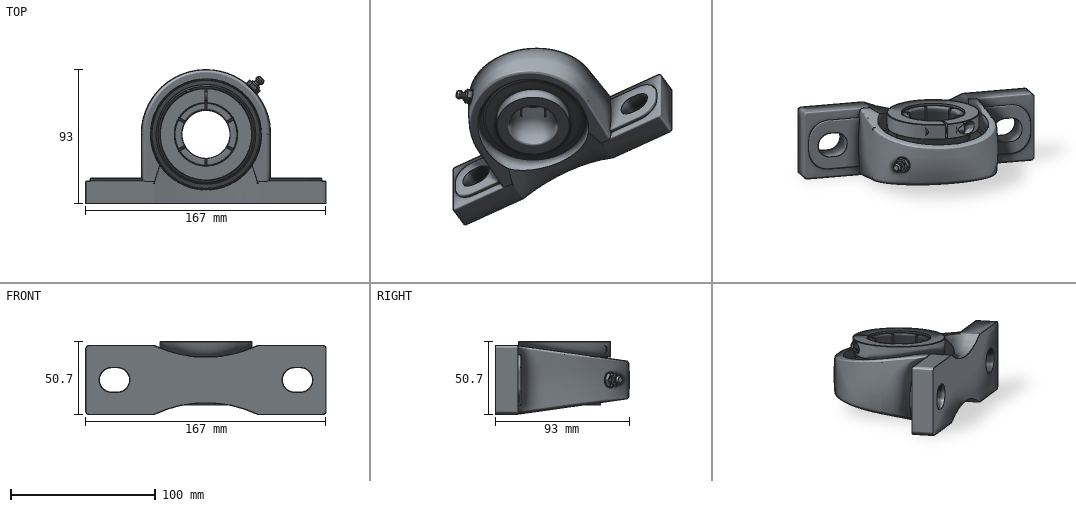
import cadquery as cq
import math


foot_length = 167.0
foot_width = 48.0
foot_height = 15.6
foot_corner_radius = 2.5
foot_edge_radius = 1.0
slot_spacing = 127.0
slot_length = 21.0
slot_width = 17.0
pad_height = 2.0
pad_width = 35.0
pad_outer_end = 80.4
pad_corner_radius = 14.0
pad_edge_radius = 0.8
waist_chord = 72.0
waist_depth = 8.15
waist_corner_radius = 2.0

shaft_height = 48.0
arch_radius = 45.0
crown_radius = 150.0
slope_angle = 8.0
slope_start_height = 14.0
arch_edge_radius = 2.0
seat_diameter = 76.91

outer_ring_width = 17.0
outer_ring_bore = 62.0
seal_outer_radius = 34.6
seal_rim_radius = 33.4
seal_inner_diameter = 51.02
seal_recess = 1.2
seal_rise = 0.6
shaft_bore = 33.34
inner_ring_diameter = 50.0
inner_ring_bottom = -17.5
inner_ring_shoulder = 15.0
inner_ring_top = 25.4
sleeve_radius = 22.0
sleeve_edge_chamfer = 0.5
bore_edge_radius = 1.5
slit_width = 1.5
slit_count = 6
slit_bottom = 11.5

collar_diameter = 64.0
collar_top = 26.65
collar_height = 10.75
collar_edge_chamfer = 0.3
collar_middle = collar_top - collar_height / 2

screw_offset = 26.5
screw_diameter = 6.0
head_diameter = 8.5
head_outer_x = -13.8
head_height = 6.0
head_chamfer = 0.5
screw_end_x = 14.0
socket_width = 5.0
socket_depth = 3.0

fitting_angle = 45.0
fitting_seat = 44.5
fitting_shank_end = 40.5
shank_diameter = 5.8
fitting_hex_width = 9.0
spotface_diameter = 11.0
hex_top = 48.0
shoulder_diameter = 7.0
shoulder_top = 49.3
neck_diameter = 4.13
neck_top = 50.9
nipple_diameter = 6.0
nipple_start = 52.2
nipple_end = 53.3
tip_diameter = 4.14
fitting_tip = 54.9


def on_shaft_axis(body):
    """Move a body built around the Z axis onto the shaft axis."""
    return body.translate((0, shaft_height, 0))


def cylinder(radius, bottom, top):
    return cq.Workplane("XY").workplane(offset=bottom).circle(radius).extrude(top - bottom)


def upright(sketch, height):
    """Raise an outline drawn on an XZ plane towards +Y."""
    return sketch.extrude(-height)


def foot_plane(height=0.0):
    return cq.Workplane("XZ", origin=(0, height, 0))


def make_waist_cutter(height):
    """Two shallow arcs that narrow the foot, each made of two halves that meet in the middle."""
    half_chord = waist_chord / 2
    half_width = foot_width / 2
    arc_radius = (half_chord**2 + waist_depth**2) / (2 * waist_depth)
    quarter_x = half_chord / 2
    quarter_z = half_width - waist_depth + arc_radius - math.sqrt(arc_radius**2 - quarter_x**2)
    outline = (
        foot_plane()
        .moveTo(-half_chord, half_width)
        .threePointArc((-quarter_x, quarter_z), (0, half_width - waist_depth))
        .threePointArc((quarter_x, quarter_z), (half_chord, half_width))
        .close()
    )
    upper = upright(outline, height)
    return upper.union(upper.mirror("XY"))


def make_foot():
    foot = upright(foot_plane().rect(foot_length, foot_width), foot_height)
    foot = foot.edges("|Y").fillet(foot_corner_radius)
    foot = foot.cut(make_waist_cutter(foot_height))
    half_chord = waist_chord / 2
    for side in (-1, 1):
        for end in (-1, 1):
            corner = cq.selectors.NearestToPointSelector(
                (end * half_chord, foot_height / 2, side * foot_width / 2)
            )
            foot = foot.edges("|Y").edges(corner).fillet(waist_corner_radius)
    return foot.faces(">Y").edges().fillet(foot_edge_radius)


def make_pads():
    """Raised bolting pads on top of the foot, one slab that the arch covers in the middle."""
    pads = upright(foot_plane().rect(2 * pad_outer_end, pad_width), foot_height + pad_height)
    pads = pads.edges("|Y").fillet(pad_corner_radius)
    pads = pads.faces(">Y").edges().fillet(pad_edge_radius)
    return pads.cut(make_waist_cutter(foot_height + pad_height))


def crown_profile(plane):
    """Section from the middle out to the crowned outer wall, as wide as the foot."""
    half_width = foot_width / 2
    crown_drop = crown_radius - math.sqrt(crown_radius**2 - half_width**2)
    edge_x = arch_radius - crown_drop
    return (
        plane.moveTo(0, -half_width)
        .lineTo(edge_x, -half_width)
        .threePointArc((arch_radius, 0), (edge_x, half_width))
        .lineTo(0, half_width)
        .close()
    )


def make_arch():
    round_top = crown_profile(cq.Workplane("XZ")).revolve(180, (0, 0), (0, 1))
    round_top = on_shaft_axis(round_top)
    right_leg = crown_profile(foot_plane(slope_start_height))
    right_leg = upright(right_leg, shaft_height - slope_start_height)
    arch = round_top.union(right_leg).union(right_leg.mirror("YZ"))

    arch_top = shaft_height + arch_radius
    run = arch_top + 1 - slope_start_height
    top_half_width = foot_width / 2 - run * math.tan(math.radians(slope_angle))
    wedge = (
        cq.Workplane("YZ")
        .moveTo(slope_start_height, foot_width / 2)
        .lineTo(arch_top + 1, top_half_width)
        .lineTo(arch_top + 1, foot_width / 2)
        .close()
        .extrude(foot_length / 2, both=True)
    )
    arch = arch.cut(wedge).cut(wedge.mirror("XY"))
    sloped_edges = cq.selectors.BoxSelector(
        (-foot_length, foot_height, -foot_width), (foot_length, arch_top + 1, foot_width)
    )
    arch = arch.edges(sloped_edges).edges("not %CIRCLE").fillet(arch_edge_radius)
    return arch.cut(make_waist_cutter(arch_top))


def make_housing():
    seat = on_shaft_axis(cylinder(seat_diameter / 2, -foot_width, foot_width))
    slot_centres = [(-slot_spacing / 2, 0), (slot_spacing / 2, 0)]
    slots = foot_plane().pushPoints(slot_centres).slot2D(slot_length, slot_width)
    slots = upright(slots, foot_height + pad_height)
    spotface = along_fitting(spotface_diameter / 2, fitting_seat, hex_top)
    grease_hole = along_fitting(shank_diameter / 2, 0, fitting_seat)
    housing = make_foot().union(make_pads()).union(make_arch())
    return housing.cut(seat).cut(slots).cut(spotface).cut(grease_hole)


def fitting_plane(distance):
    """Plane square to the grease fitting's axis, at a distance from the shaft axis."""
    angle = math.radians(fitting_angle)
    direction = cq.Vector(math.cos(angle), math.sin(angle), 0)
    origin = cq.Vector(0, shaft_height, 0) + direction * distance
    return cq.Workplane(cq.Plane(origin=origin, xDir=(0, 0, 1), normal=direction))


def along_fitting(radius, start, end):
    return fitting_plane(start).circle(radius).extrude(end - start)


def make_grease_fitting():
    shank = along_fitting(shank_diameter / 2, fitting_shank_end, fitting_seat)
    hexagon = fitting_plane(fitting_seat).polygon(6, fitting_hex_width, circumscribed=True)
    hexagon = hexagon.extrude(hex_top - fitting_seat)
    nipple = (
        cq.Workplane("XY")
        .moveTo(0, hex_top)
        .lineTo(shoulder_diameter / 2, hex_top)
        .lineTo(shoulder_diameter / 2, shoulder_top)
        .lineTo(neck_diameter / 2, shoulder_top)
        .lineTo(neck_diameter / 2, neck_top)
        .lineTo(nipple_diameter / 2, nipple_start)
        .lineTo(nipple_diameter / 2, nipple_end)
        .lineTo(tip_diameter / 2, fitting_tip)
        .lineTo(0, fitting_tip)
        .close()
        .revolve(360, (0, 0), (0, 1))
        .rotate((0, 0, 0), (0, 0, 1), fitting_angle - 90)
    )
    return shank.union(hexagon).union(on_shaft_axis(nipple))


def make_outer_ring():
    """Ring with a spherical outside, recessed at both faces for the seals."""
    half_width = outer_ring_width / 2
    ring = cq.Workplane("XY").sphere(seat_diameter / 2)
    ring = ring.intersect(cylinder(seat_diameter, -half_width, half_width))
    ring = ring.cut(cylinder(outer_ring_bore / 2, -half_width, half_width))
    ring = ring.cut(cylinder(seal_outer_radius, half_width - seal_recess, half_width))
    ring = ring.cut(cylinder(seal_outer_radius, -half_width, seal_recess - half_width))
    return on_shaft_axis(ring)


def make_seal(side):
    """Flat ring with a bevelled rim; side is 1 for the collar end and -1 for the other."""
    ring_face = outer_ring_width / 2
    inner_radius = seal_inner_diameter / 2
    seal = (
        cq.Workplane("XZ")
        .moveTo(inner_radius, ring_face - seal_recess)
        .lineTo(seal_outer_radius, ring_face - seal_recess)
        .lineTo(seal_outer_radius, ring_face)
        .lineTo(seal_rim_radius, ring_face + seal_rise)
        .lineTo(inner_radius, ring_face + seal_rise)
        .close()
        .revolve(360, (0, 0), (0, 1))
    )
    if side < 0:
        seal = seal.mirror("XY")
    return on_shaft_axis(seal)


def make_slit(outer_radius, bottom, top):
    """Radial slit from the axis out to outer_radius on the +Y side."""
    height = top - bottom
    slit = cq.Workplane("XY").box(slit_width, outer_radius, height, centered=(True, False, False))
    return slit.translate((0, 0, bottom))


def make_inner_ring():
    sleeve = cylinder(sleeve_radius, inner_ring_bottom, inner_ring_top)
    sleeve = sleeve.faces(">Z").edges().chamfer(sleeve_edge_chamfer)
    ring = sleeve.union(cylinder(inner_ring_diameter / 2, inner_ring_bottom, inner_ring_shoulder))
    ring = ring.cut(cylinder(shaft_bore / 2, inner_ring_bottom, inner_ring_top))
    ring = ring.edges(cq.selectors.RadiusNthSelector(0)).fillet(bore_edge_radius)
    slit = make_slit(sleeve_radius + 1, slit_bottom, inner_ring_top)
    for index in range(slit_count):
        ring = ring.cut(slit.rotate((0, 0, 0), (0, 0, 1), index * 360 / slit_count))
    return on_shaft_axis(ring)


def screw_plane(x):
    """Plane square to the clamp screw's axis, facing +X."""
    return cq.Workplane("YZ", origin=(x, shaft_height + screw_offset, collar_middle))


def make_collar():
    bottom = collar_top - collar_height
    collar = cylinder(collar_diameter / 2, bottom, collar_top)
    collar = collar.faces("|Z").edges().chamfer(collar_edge_chamfer)
    collar = collar.cut(cylinder(sleeve_radius, bottom, collar_top))
    collar = on_shaft_axis(collar.cut(make_slit(collar_diameter, bottom, collar_top)))
    seat_x = head_outer_x + head_height
    head_pocket = screw_plane(-collar_diameter / 2).circle(head_diameter / 2)
    head_pocket = head_pocket.extrude(seat_x + collar_diameter / 2)
    shank_hole = screw_plane(seat_x).circle(screw_diameter / 2).extrude(screw_end_x - seat_x)
    return collar.cut(head_pocket).cut(shank_hole)


def make_clamp_screw():
    head = screw_plane(head_outer_x).circle(head_diameter / 2).extrude(head_height)
    head = head.faces("<X").edges().chamfer(head_chamfer)
    socket = screw_plane(head_outer_x).polygon(6, socket_width, circumscribed=True)
    socket = socket.extrude(socket_depth)
    seat_x = head_outer_x + head_height
    shank = screw_plane(seat_x).circle(screw_diameter / 2).extrude(screw_end_x - seat_x)
    return head.cut(socket).union(shank)


housing = make_housing()
outer_ring = make_outer_ring()
inner_ring = make_inner_ring()
seals = [make_seal(side) for side in (1, -1)]
collar = make_collar()
clamp_screw = make_clamp_screw()
grease_fitting = make_grease_fitting()

result = cq.Compound.makeCompound(
    [
        housing.val(),
        outer_ring.val(),
        inner_ring.val(),
        *[seal.val() for seal in seals],
        collar.val(),
        clamp_screw.val(),
        grease_fitting.val(),
    ]
)